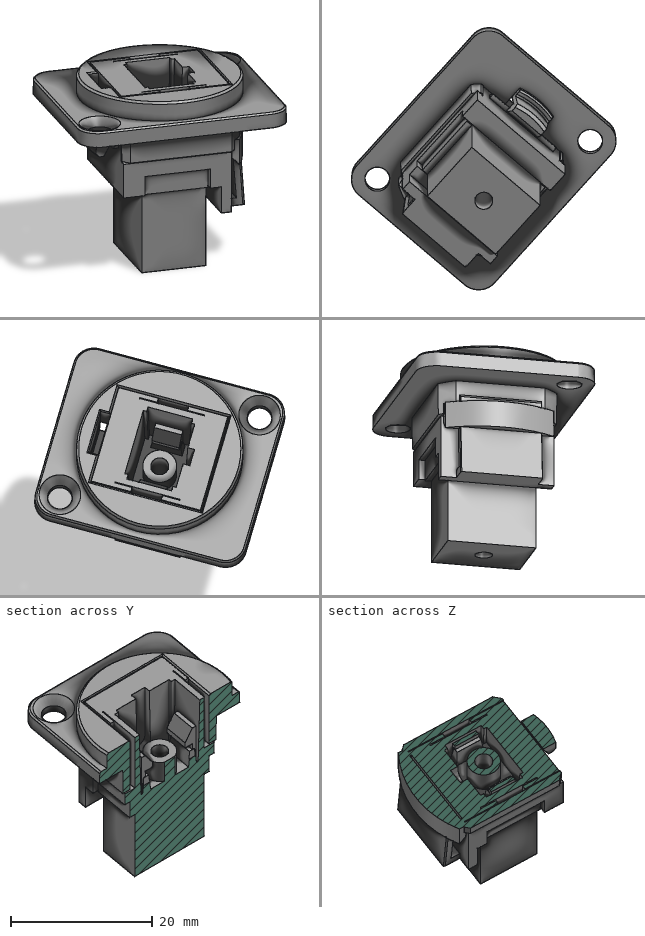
import cadquery as cq
import math


FLANGE_WIDTH = 26.0
FLANGE_LENGTH = 31.0
FLANGE_THICKNESS = 2.3
CORNER_RADIUS = 3.0
FLANGE_DRAFT = 1.5
FLANGE_CHAMFER = 0.25
DISC_RADIUS = 11.8
TOP_Z = 5.1
DISC_CHAMFER = 0.3

HOLE_DIAMETER = 3.5
COUNTERSINK_DIAMETER = 5.9
COUNTERSINK_ANGLE = 90.0
HOLE_X = 9.52
HOLE_Y = 12.03

OPENING_HALF_X = 7.3
OPENING_HALF_Y = 8.12
OPENING_BACK_Y = 8.25
OPENING_CHAMFER = 0.28
CLIP_SLOT_HALF_X = 3.15
CLIP_SLOT_CHAMFER = 0.2
CLIP_SLOT_Y = -9.6

SKIRT_HALF_X = 8.7
SKIRT_BOTTOM = -4.62
SKIRT_FRONT_Y = -8.2
SKIRT_BACK_Y = 9.85
SKIRT_CORNER_CUT = 1.02
SKIRT_DRAFT = 1.1
SKIRT_LEG_Y = 8.55
SKIRT_LEG_INNER_X = 6.5
CATCH_Z = -3.15

CLIP_INNER_Y = -9.67
CLIP_RADIUS = 10.75
CLIP_LIP_BOTTOM = -1.05
CLIP_LIP_CHAMFER = 0.28
CLIP_BOTTOM = -5.45
CLIP_HALF_X_TOP = 3.15
CLIP_HALF_X_BOTTOM = 2.73
CLIP_TIP_Y = -8.2
CLIP_TIP_Z = -3.5
CLIP_TOE_Y = -9.2
CLIP_TOE_CHAMFER = 0.5

NECK_HALF_X = 7.22
NECK_FRONT_Y = -8.05
NECK_BACK_Y = 8.0
BODY_HALF_X = 8.28
BODY_TOP = -4.85
BODY_BOTTOM = -9.92
WEDGE_HALF_X = 5.98
WEDGE_TOP = -1.58
WEDGE_REACH = 0.8
WING_BOTTOM = -13.9
WING_INNER_Y = 6.5
SIDE_SLOT_HALF_Y = 4.87
SIDE_SLOT_TOP = -7.05

LEVER_HALF_X = 5.98
LEVER_FOOT_Y = 10.73
LEVER_TIP_Y = 10.23
LEVER_TIP_Z = -2.08
LEVER_TIP_CHAMFER = 0.37
LEVER_FOOT_TOP = -12.75
LEVER_FOOT_THICKNESS = 1.25
LEVER_NECK_Y = 9.02
LEVER_BEVEL_DEPTH = 0.28
LEVER_BEVEL_WIDTH = 0.1
HEAD_CENTRE_Y = 11.53
HEAD_EDGE_Y = 9.33
HEAD_HALF_X = 7.9
HEAD_BOTTOM = -6.98
CATCH_TIP_Y = 8.2
CATCH_CHAMFER = 1.05
RIB_HALF_X = 0.75
RIB_TOP = -8.3

ADAPTER_HALF_X = 6.45
ADAPTER_HALF_Y = 4.77
ADAPTER_BOTTOM = -22.3
COLLAR_HALF_X = 7.38
COLLAR_BOTTOM = -10.1
SIDE_GAP = 0.12
SIDE_NOTCH_HALF_Y = 2.23

CAVITY_FLOOR = -6.82
CAVITY_DRAFT = 1.5
CAVITY_WIDE_X = 5.55
CAVITY_WIDE_Y = 3.3
CAVITY_TALL_X = 4.87
CAVITY_TALL_Y = 3.78
KEYWAY_WIDTH = 2.48
KEYWAY_BOTTOM = -5.58
SLEEVE_DIAMETER = 4.8
BORE_DIAMETER = 2.5
SLEEVE_TOP = -3.1

LATCH_HALF_Y = 2.0
LATCH_OUTER_X = 5.02
LATCH_STEP_X = 4.35
LATCH_TIP_X = 3.0
LATCH_TOP = 0.2
LATCH_TIP_TOP = -1.92
LATCH_TIP_BOTTOM = -2.9
LATCH_BASE_HALF_Y = 2.32
LATCH_BASE_X = 3.47
LATCH_BASE_DRAFT = 6.0
LATCH_BASE_HEIGHT = 2.8


def box(x_min, x_max, y_min, y_max, z_min, z_max):
    """Box between the given limits."""
    return cq.Workplane("XY").box(
        x_max - x_min, y_max - y_min, z_max - z_min, centered=False
    ).translate((x_min, y_min, z_min))


def centred_box(half_x, half_y, z_min, z_max):
    """Box centred on the Z axis."""
    return box(-half_x, half_x, -half_y, half_y, z_min, z_max)


def cylinder(radius, z_min, z_max):
    """Cylinder on the Z axis."""
    return cq.Workplane("XY").workplane(offset=z_min).circle(radius).extrude(z_max - z_min)


def side_profile(points, half_x):
    """(y, z) outline extruded symmetrically along X."""
    return cq.Workplane("YZ").polyline(points).close().extrude(half_x, both=True)


def flange():
    plate = (
        cq.Workplane("XY")
        .sketch()
        .rect(FLANGE_WIDTH, FLANGE_LENGTH)
        .vertices()
        .fillet(CORNER_RADIUS)
        .finalize()
        .extrude(FLANGE_THICKNESS, taper=FLANGE_DRAFT)
        .faces(">Z")
        .chamfer(FLANGE_CHAMFER)
    )
    disc = cylinder(DISC_RADIUS, 0, TOP_Z).faces(">Z").chamfer(DISC_CHAMFER)
    return (
        plate.faces(">Z")
        .workplane(origin=(0, 0, FLANGE_THICKNESS))
        .pushPoints([(-HOLE_X, HOLE_Y), (HOLE_X, -HOLE_Y)])
        .cskHole(HOLE_DIAMETER, COUNTERSINK_DIAMETER, COUNTERSINK_ANGLE)
        .union(disc)
    )


def skirt():
    front_x = SKIRT_HALF_X - SKIRT_CORNER_CUT
    front_y = SKIRT_FRONT_Y + SKIRT_CORNER_CUT
    side_y = math.sqrt(DISC_RADIUS**2 - SKIRT_HALF_X**2)
    back_x = math.sqrt(DISC_RADIUS**2 - SKIRT_BACK_Y**2)
    arc_angle = (math.atan2(side_y, SKIRT_HALF_X) + math.atan2(SKIRT_BACK_Y, back_x)) / 2
    arc_x = DISC_RADIUS * math.cos(arc_angle)
    arc_y = DISC_RADIUS * math.sin(arc_angle)
    walls = (
        cq.Workplane("XY")
        .moveTo(-front_x, SKIRT_FRONT_Y)
        .lineTo(front_x, SKIRT_FRONT_Y)
        .lineTo(SKIRT_HALF_X, front_y)
        .lineTo(SKIRT_HALF_X, side_y)
        .threePointArc((arc_x, arc_y), (back_x, SKIRT_BACK_Y))
        .lineTo(-back_x, SKIRT_BACK_Y)
        .threePointArc((-arc_x, arc_y), (-SKIRT_HALF_X, side_y))
        .lineTo(-SKIRT_HALF_X, front_y)
        .close()
        .extrude(SKIRT_BOTTOM, taper=SKIRT_DRAFT)
    )
    below_back_wall = box(
        -SKIRT_HALF_X, SKIRT_HALF_X, SKIRT_LEG_Y, SKIRT_BACK_Y, SKIRT_BOTTOM, CATCH_Z
    )
    between_legs = box(
        -SKIRT_LEG_INNER_X, SKIRT_LEG_INNER_X, 0, SKIRT_BACK_Y, SKIRT_BOTTOM, CATCH_Z
    )
    return walls.cut(below_back_wall).cut(between_legs)


def rim_bevel(half_x, half_y, size):
    """45 degree bevel around the top rim of a rectangular opening."""
    return (
        cq.Workplane("XY")
        .workplane(offset=TOP_Z)
        .rect(2 * (half_x + size), 2 * (half_y + size))
        .extrude(-size, taper=45)
    )


def module_opening():
    opening = box(
        -OPENING_HALF_X, OPENING_HALF_X, -OPENING_HALF_Y, OPENING_BACK_Y, SKIRT_BOTTOM, TOP_Z
    )
    clip_slot = box(-CLIP_SLOT_HALF_X, CLIP_SLOT_HALF_X, CLIP_SLOT_Y, 0, 0, TOP_Z)
    clip_slot_side = box(-OPENING_HALF_X, OPENING_HALF_X, -DISC_RADIUS, 0, 0, TOP_Z)
    front = box(-OPENING_HALF_X, OPENING_HALF_X, SKIRT_FRONT_Y, 0, SKIRT_BOTTOM, 0)
    rim = rim_bevel(OPENING_HALF_X, OPENING_HALF_Y, OPENING_CHAMFER)
    slot_rim = rim_bevel(CLIP_SLOT_HALF_X, -CLIP_SLOT_Y, CLIP_SLOT_CHAMFER)
    slot_rim = slot_rim.intersect(clip_slot_side)
    return opening.union(clip_slot).union(front).union(rim).union(slot_rim)


def leg_pads():
    """Pads on the skirt legs that bear on the back of the module neck."""
    pads = cq.Workplane("XY")
    for x_min in (-OPENING_HALF_X, SKIRT_LEG_INNER_X):
        x_max = x_min + OPENING_HALF_X - SKIRT_LEG_INNER_X
        pads = pads.union(box(x_min, x_max, NECK_BACK_Y, SKIRT_LEG_Y, SKIRT_BOTTOM, 0))
    return pads


def spring_clip():
    toe_radius = CLIP_RADIUS - CLIP_TOE_CHAMFER
    outer = (
        cq.Workplane("XZ")
        .polyline([
            (0, 0),
            (DISC_RADIUS, 0),
            (DISC_RADIUS, CLIP_LIP_BOTTOM + CLIP_LIP_CHAMFER),
            (DISC_RADIUS - CLIP_LIP_CHAMFER, CLIP_LIP_BOTTOM),
            (CLIP_RADIUS + CLIP_LIP_CHAMFER, CLIP_LIP_BOTTOM),
            (CLIP_RADIUS, CLIP_LIP_BOTTOM - CLIP_LIP_CHAMFER),
            (CLIP_RADIUS, CLIP_BOTTOM + CLIP_TOE_CHAMFER),
            (toe_radius, CLIP_BOTTOM),
            (0, CLIP_BOTTOM),
        ])
        .close()
        .revolve(360, (0, 0), (0, 1))
    )
    hook = side_profile([
        (CLIP_INNER_Y, 0),
        (CLIP_INNER_Y, CATCH_Z),
        (CLIP_TIP_Y, CATCH_Z),
        (CLIP_TIP_Y, CLIP_TIP_Z),
        (CLIP_TOE_Y, CLIP_BOTTOM),
        (-DISC_RADIUS, CLIP_BOTTOM),
        (-DISC_RADIUS, 0),
    ], CLIP_HALF_X_TOP)
    tapered_width = (
        cq.Workplane("XZ")
        .polyline([
            (-CLIP_HALF_X_TOP, 0),
            (CLIP_HALF_X_TOP, 0),
            (CLIP_HALF_X_BOTTOM, CLIP_BOTTOM),
            (-CLIP_HALF_X_BOTTOM, CLIP_BOTTOM),
        ])
        .close()
        .extrude(DISC_RADIUS)
    )
    return hook.intersect(outer).intersect(tapered_width)


def module():
    neck = box(-NECK_HALF_X, NECK_HALF_X, NECK_FRONT_Y, NECK_BACK_Y, BODY_TOP, TOP_Z)
    body = box(-BODY_HALF_X, BODY_HALF_X, NECK_FRONT_Y, NECK_BACK_Y, BODY_BOTTOM, BODY_TOP)
    wing = box(-BODY_HALF_X, BODY_HALF_X, WING_INNER_Y, NECK_BACK_Y, WING_BOTTOM, BODY_TOP)
    wedge = side_profile([
        (NECK_FRONT_Y, WEDGE_TOP),
        (NECK_FRONT_Y - WEDGE_REACH, CATCH_Z),
        (NECK_FRONT_Y, CATCH_Z),
    ], WEDGE_HALF_X)
    side_slots = centred_box(BODY_HALF_X, SIDE_SLOT_HALF_Y, BODY_BOTTOM, SIDE_SLOT_TOP)
    side_gaps = centred_box(ADAPTER_HALF_X + SIDE_GAP, ADAPTER_HALF_Y, BODY_TOP, TOP_Z)
    side_notches = centred_box(NECK_HALF_X, SIDE_NOTCH_HALF_Y, BODY_TOP, TOP_Z)
    return (
        neck.union(body).union(wing).union(wedge)
        .cut(side_slots).cut(side_gaps).cut(side_notches)
    )


def release_lever():
    arm = side_profile([
        (NECK_BACK_Y, WING_BOTTOM),
        (LEVER_FOOT_Y, WING_BOTTOM),
        (LEVER_TIP_Y, HEAD_BOTTOM),
        (LEVER_TIP_Y, LEVER_TIP_Z - LEVER_TIP_CHAMFER),
        (LEVER_TIP_Y - LEVER_TIP_CHAMFER, LEVER_TIP_Z),
        (SKIRT_BACK_Y, CATCH_Z),
        (LEVER_NECK_Y, CATCH_Z),
        (LEVER_NECK_Y, HEAD_BOTTOM),
        (LEVER_FOOT_Y - LEVER_FOOT_THICKNESS, LEVER_FOOT_TOP),
        (NECK_BACK_Y, LEVER_FOOT_TOP),
    ], LEVER_HALF_X)
    arm_middle_y = (LEVER_FOOT_Y + LEVER_TIP_Y) / 2
    arm_middle_z = (WING_BOTTOM + HEAD_BOTTOM) / 2
    for x in (-LEVER_HALF_X, LEVER_HALF_X):
        outer_edge = cq.selectors.NearestToPointSelector((x, arm_middle_y, arm_middle_z))
        arm = arm.edges(outer_edge).chamfer(LEVER_BEVEL_WIDTH, LEVER_BEVEL_DEPTH)
    head = (
        cq.Workplane("XY")
        .workplane(offset=CATCH_Z)
        .moveTo(-HEAD_HALF_X, CATCH_TIP_Y)
        .lineTo(HEAD_HALF_X, CATCH_TIP_Y)
        .lineTo(HEAD_HALF_X, HEAD_EDGE_Y)
        .threePointArc((0, HEAD_CENTRE_Y), (-HEAD_HALF_X, HEAD_EDGE_Y))
        .close()
        .extrude(HEAD_BOTTOM - CATCH_Z)
        .faces("<Y")
        .edges("<Z")
        .chamfer(CATCH_CHAMFER)
    )
    rib_end_y = (LEVER_NECK_Y + LEVER_TIP_Y) / 2
    rib = box(-RIB_HALF_X, RIB_HALF_X, NECK_BACK_Y, rib_end_y, LEVER_FOOT_TOP, RIB_TOP)
    return arm.union(head).union(rib)


def plug_cavity():
    cavity = cq.Workplane("XY")
    for half_x, half_y in ((CAVITY_WIDE_X, CAVITY_WIDE_Y), (CAVITY_TALL_X, CAVITY_TALL_Y)):
        pocket = (
            cq.Workplane("XY")
            .workplane(offset=TOP_Z)
            .rect(2 * half_x, 2 * half_y)
            .extrude(CAVITY_FLOOR - TOP_Z, taper=CAVITY_DRAFT)
        )
        cavity = cavity.union(pocket)
    keyway_axis = KEYWAY_BOTTOM + KEYWAY_WIDTH / 2
    keyway = box(-KEYWAY_WIDTH / 2, KEYWAY_WIDTH / 2, 0, ADAPTER_HALF_Y, keyway_axis, TOP_Z)
    keyway_end = (
        cq.Workplane("XZ")
        .center(0, keyway_axis)
        .circle(KEYWAY_WIDTH / 2)
        .extrude(-ADAPTER_HALF_Y)
    )
    return cavity.union(keyway).union(keyway_end)


def plug_latches():
    """Pair of hooked latches on tapered bases, standing on the cavity floor."""
    right = (
        cq.Workplane("XZ")
        .polyline([
            (LATCH_OUTER_X, CAVITY_FLOOR),
            (LATCH_OUTER_X, LATCH_TOP),
            (LATCH_STEP_X, LATCH_TOP),
            (LATCH_TIP_X, LATCH_TIP_TOP),
            (LATCH_TIP_X, LATCH_TIP_BOTTOM),
            (LATCH_STEP_X, LATCH_TIP_BOTTOM),
            (LATCH_STEP_X, CAVITY_FLOOR),
        ])
        .close()
        .extrude(LATCH_HALF_Y, both=True)
    )
    base_width = LATCH_OUTER_X - LATCH_BASE_X
    base = (
        cq.Workplane("XY")
        .workplane(offset=CAVITY_FLOOR)
        .center(LATCH_OUTER_X - base_width / 2, 0)
        .rect(base_width, 2 * LATCH_BASE_HALF_Y)
        .extrude(LATCH_BASE_HEIGHT, taper=LATCH_BASE_DRAFT)
    )
    right = right.union(base)
    return right.union(right.mirror("YZ"))


def adapter():
    block = centred_box(ADAPTER_HALF_X, ADAPTER_HALF_Y, ADAPTER_BOTTOM, TOP_Z)
    collar = centred_box(COLLAR_HALF_X, ADAPTER_HALF_Y, COLLAR_BOTTOM, SIDE_SLOT_TOP)
    sleeve = cylinder(SLEEVE_DIAMETER / 2, CAVITY_FLOOR, SLEEVE_TOP)
    bore = cylinder(BORE_DIAMETER / 2, ADAPTER_BOTTOM, TOP_Z)
    return block.union(collar).cut(plug_cavity()).union(sleeve).union(plug_latches()).cut(bore)


frame = flange().union(skirt()).cut(module_opening()).union(leg_pads()).union(spring_clip())
adapter_space = centred_box(ADAPTER_HALF_X, ADAPTER_HALF_Y, BODY_BOTTOM, TOP_Z)
result = frame.union(module().cut(adapter_space)).union(release_lever()).union(adapter())